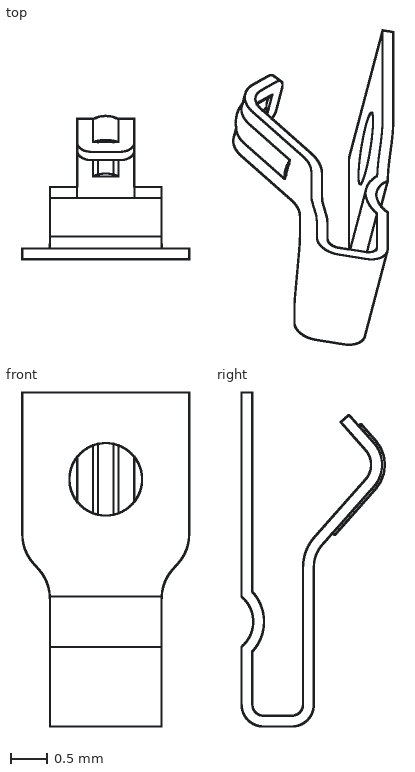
import cadquery as cq
import math

thickness = 0.15
clip_height = 4.6
plate_width = 2.3
band_width = 1.54
tongue_width = 0.79
clip_depth = 1.0
corner_radius = 2 * thickness
edge_radius = 0.6

hole_diameter = 1.0
hole_height = 3.405
shoulder_top = 2.415
shoulder_bottom = 1.995

wave_height = 1.445
wave_half_span = 0.345
wave_depth = 0.16
wave_radius = (wave_half_span**2 + wave_depth**2) / (2 * wave_depth)
wave_center = wave_depth - wave_radius

taper_bottom = 0.73
taper_top = 1.605
tongue_bend_height = 2.2
tongue_tilt = math.radians(41.5)
lower_bend_radius = 0.46
upper_bend_radius = 2 * thickness
tongue_straight = 1.065
tip_straight = 0.515
tip_corner_radius = 0.2

rib_width = 0.345
rib_rise = 0.04
hollow_depth = 0.055
stem_width = 0.205
rib_start = 0.21
rib_tip_gap = 0.202


def along(point, direction, distance):
    return (point[0] + distance * direction[0], point[1] + distance * direction[1])


tilt_sin = math.sin(tongue_tilt)
tilt_cos = math.cos(tongue_tilt)
rising = (tilt_sin, tilt_cos)
returning = (-tilt_sin, tilt_cos)
rising_outward = (tilt_cos, -tilt_sin)
returning_outward = (tilt_cos, tilt_sin)
lower_center = (clip_depth + lower_bend_radius, tongue_bend_height)
lower_bend_end = along(lower_center, rising_outward, -(lower_bend_radius + thickness))
upper_bend_start = along(lower_bend_end, rising, tongue_straight)
upper_center = along(upper_bend_start, rising_outward, -upper_bend_radius)
upper_bend_end = along(upper_center, returning_outward, upper_bend_radius)
tongue_tip = along(upper_bend_end, returning, tip_straight)
upper_bend_middle = (upper_center[0] + upper_bend_radius, upper_center[1])


def wave_end(radius, wall_face):
    """Half height of a wave arc where it meets a face of the front wall."""
    return math.sqrt(radius**2 - (wall_face - wave_center) ** 2)


def corner_middle(center, radius, side):
    """Middle of a U-bend corner arc; side is -1 at the front and 1 at the back."""
    return along(center, (side * math.sqrt(0.5), -math.sqrt(0.5)), radius)


def extrude_across(profile):
    return profile.extrude(plate_width / 2, both=True)


def tapered_outline(lower_width, upper_width, lower_z, upper_z):
    """Block that limits the sheet width, with blended transitions in its sides."""
    low = lower_width / 2
    high = upper_width / 2
    right_side = [(low, 0), (low, lower_z), (high, upper_z), (high, clip_height)]
    left_side = [(-x, z) for x, z in reversed(right_side)]
    block = cq.Workplane("XZ").polyline(right_side + left_side).close().extrude(-2 * clip_depth - thickness)
    bends = block.edges("|Y").edges(cq.selectors.BoxSelector(
        (-plate_width, -0.045, lower_z - 0.045), (plate_width, 3 * clip_depth, upper_z + 0.045)))
    return bends.fillet(edge_radius)


def make_front_half():
    inner_radius = corner_radius - thickness
    center = (corner_radius, corner_radius)
    outer_wave_radius = wave_radius + thickness
    near_end = wave_end(wave_radius, 0)
    far_end = wave_end(outer_wave_radius, thickness)
    profile = (
        cq.Workplane("YZ")
        .moveTo(clip_depth / 2, 0)
        .lineTo(corner_radius, 0)
        .threePointArc(corner_middle(center, corner_radius, -1), (0, corner_radius))
        .lineTo(0, wave_height - near_end)
        .threePointArc((wave_depth, wave_height), (0, wave_height + near_end))
        .lineTo(0, clip_height)
        .lineTo(thickness, clip_height)
        .lineTo(thickness, wave_height + far_end)
        .threePointArc((wave_depth + thickness, wave_height), (thickness, wave_height - far_end))
        .lineTo(thickness, corner_radius)
        .threePointArc(corner_middle(center, inner_radius, -1), (corner_radius, thickness))
        .lineTo(clip_depth / 2, thickness)
        .close()
    )
    outline = tapered_outline(band_width, plate_width, shoulder_bottom, shoulder_top)
    hole = (
        cq.Workplane("XZ").center(0, hole_height).circle(hole_diameter / 2).extrude(-thickness)
    )
    return extrude_across(profile).intersect(outline).cut(hole)


def make_back_half():
    inner_radius = corner_radius - thickness
    center = (clip_depth - corner_radius, corner_radius)
    half_tilt = tongue_tilt / 2
    lower_middle = (-math.cos(half_tilt), math.sin(half_tilt))
    profile = (
        cq.Workplane("YZ")
        .moveTo(clip_depth / 2, 0)
        .lineTo(clip_depth - corner_radius, 0)
        .threePointArc(corner_middle(center, corner_radius, 1), (clip_depth, corner_radius))
        .lineTo(clip_depth, tongue_bend_height)
        .threePointArc(
            along(lower_center, lower_middle, lower_bend_radius),
            along(lower_bend_end, rising_outward, thickness),
        )
        .lineTo(*along(upper_bend_start, rising_outward, thickness))
        .threePointArc(
            along(upper_bend_middle, (1, 0), thickness),
            along(upper_bend_end, returning_outward, thickness),
        )
        .lineTo(*along(tongue_tip, returning_outward, thickness))
        .lineTo(*tongue_tip)
        .lineTo(*upper_bend_end)
        .threePointArc(upper_bend_middle, upper_bend_start)
        .lineTo(*lower_bend_end)
        .threePointArc(
            along(lower_center, lower_middle, lower_bend_radius + thickness),
            (clip_depth - thickness, tongue_bend_height),
        )
        .lineTo(clip_depth - thickness, corner_radius)
        .threePointArc(corner_middle(center, inner_radius, 1), (center[0], thickness))
        .lineTo(clip_depth / 2, thickness)
        .close()
    )
    outline = tapered_outline(band_width, tongue_width, taper_bottom, taper_top)
    strip = extrude_across(profile).intersect(outline)
    return strip.faces(">Z").edges("not |X").fillet(tip_corner_radius)


half_rib = rib_width / 2
half_stem = stem_width / 2
hollow_radius = (half_rib**2 + hollow_depth**2) / (2 * hollow_depth)


def hollow_height(x):
    return math.sqrt(hollow_radius**2 - x**2) - hollow_radius + hollow_depth


stem_inner = hollow_height(half_stem)
side_middle_x = (half_rib + half_stem) / 2
side_middle = hollow_height(side_middle_x)

rib_origin = along(lower_bend_end, rising, rib_start)
rib_plane = cq.Plane(origin=(0, *rib_origin), xDir=(1, 0, 0), normal=(0, *rising))


def sweep_along_tongue(section):
    """Sweep a section along the inner face of the tongue, around its upper bend."""
    path = (
        cq.Workplane("YZ")
        .moveTo(*rib_origin)
        .lineTo(*upper_bend_start)
        .threePointArc(upper_bend_middle, upper_bend_end)
        .lineTo(*along(upper_bend_end, returning, tip_straight - rib_tip_gap))
    )
    return section.sweep(path)


def make_rib():
    section = (
        cq.Workplane(rib_plane)
        .moveTo(half_rib, thickness)
        .threePointArc((0, thickness + rib_rise), (-half_rib, thickness))
        .lineTo(-half_stem, thickness)
        .lineTo(-half_stem, stem_inner)
        .threePointArc((0, hollow_depth), (half_stem, stem_inner))
        .lineTo(half_stem, thickness)
        .close()
    )
    return sweep_along_tongue(section)


def make_rib_opening():
    """Slot for the rib stem, flared into the hollow on the inner face."""
    section = (
        cq.Workplane(rib_plane)
        .moveTo(half_rib, 0)
        .threePointArc((side_middle_x, side_middle), (half_stem, stem_inner))
        .lineTo(half_stem, thickness)
        .lineTo(-half_stem, thickness)
        .lineTo(-half_stem, stem_inner)
        .threePointArc((-side_middle_x, side_middle), (-half_rib, 0))
        .close()
    )
    return sweep_along_tongue(section)


clip = make_front_half().union(make_back_half()).cut(make_rib_opening(), clean=False)
rib = make_rib()

result = cq.Compound.makeCompound([clip.solids().val(), rib.val()])